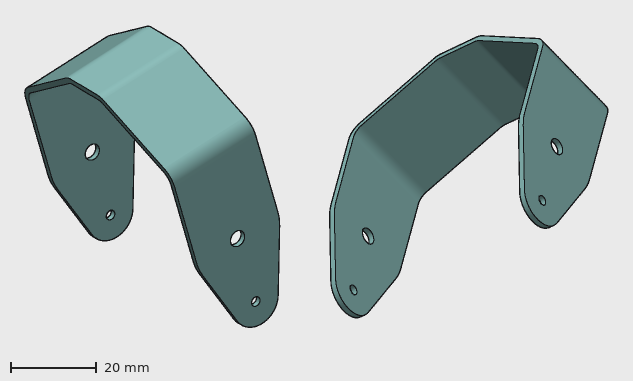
import cadquery as cq
import math

overall_height = 65.0
outer_width = 59.5
strap_depth = 24.3
thickness = 1.5
crown_half_length = 6.45
shoulder_angle = 30.0
crown_bend_radius = 4.0
shoulder_bend_radius = 5.0
tilt_angle = 16.5

tip_radius = 6.45
taper_start_height = 16.7
taper_corner_radius = 12.0

pivot_hole_diameter = 2.4
upper_hole_diameter = 4.0
upper_hole_height = 18.45

half_width = outer_width / 2
half_depth = strap_depth / 2

tilt = math.radians(tilt_angle)
crown_height = (overall_height - tip_radius - half_depth * math.sin(tilt)) / math.cos(tilt)


def arch(offset):
    """Solid arch bounded by the outer bend line moved inward by offset."""
    slope = math.radians(shoulder_angle)
    leg_x = half_width - offset
    crown_x = crown_half_length - offset * math.tan(slope / 2)
    top = crown_height - offset
    shoulder_z = top - (leg_x - crown_x) * math.tan(slope)
    return (
        cq.Workplane("XZ")
        .polyline([
            (-leg_x, -tip_radius),
            (-leg_x, shoulder_z),
            (-crown_x, top),
            (crown_x, top),
            (leg_x, shoulder_z),
            (leg_x, -tip_radius),
        ])
        .close()
        .extrude(half_depth, both=True)
        .edges("|Y and >Z")
        .fillet(crown_bend_radius - offset)
        .edges(cq.selectors.BoxSelector(
            (-outer_width, -strap_depth, shoulder_z - thickness),
            (outer_width, strap_depth, shoulder_z + thickness),
        ))
        .edges("|Y")
        .fillet(shoulder_bend_radius - offset)
    )


def leg_outline():
    """Prism along X whose lower end tapers tangentially into a round tip."""
    corner_distance = math.hypot(half_depth, taper_start_height)
    taper_angle = math.atan2(half_depth, taper_start_height) - math.asin(tip_radius / corner_distance)
    tangent_y = tip_radius * math.cos(taper_angle)
    tangent_z = -tip_radius * math.sin(taper_angle)
    return (
        cq.Workplane("YZ")
        .moveTo(-half_depth, crown_height)
        .lineTo(-half_depth, taper_start_height)
        .lineTo(-tangent_y, tangent_z)
        .threePointArc((0, -tip_radius), (tangent_y, tangent_z))
        .lineTo(half_depth, taper_start_height)
        .lineTo(half_depth, crown_height)
        .close()
        .extrude(half_width, both=True)
        .edges(cq.selectors.BoxSelector(
            (-outer_width, -strap_depth, taper_start_height - thickness),
            (outer_width, strap_depth, taper_start_height + thickness),
        ))
        .edges("|X")
        .fillet(taper_corner_radius)
    )


def cross_hole(diameter, height):
    """Cylinder along X through both legs."""
    return (
        cq.Workplane("YZ")
        .center(0, height)
        .circle(diameter / 2)
        .extrude(outer_width, both=True)
    )


strap = arch(0).cut(arch(thickness))
strap = strap.intersect(leg_outline())
strap = strap.cut(cross_hole(pivot_hole_diameter, 0))
strap = strap.cut(cross_hole(upper_hole_diameter, upper_hole_height))

result = strap.rotate((0, 0, 0), (1, 0, 0), tilt_angle)